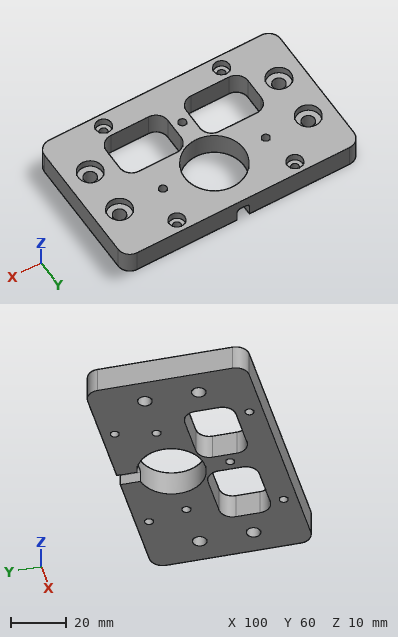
import cadquery as cq

length = 100
width = 60
thickness = 10
corner_radius = 5

bore_diameter = 25
bore_y = 10.3
channel_width = 5.2
channel_depth = 5.8
channel_corner_radius = 1.5

small_hole_diameter = 3.2
bolt_circle_radius = 21.8

window_length = 26
window_width = 19
window_corner_radius = 5
window_x = 17
window_y = -10.5

mount_hole_diameter = 5.2
mount_head_diameter = 10
mount_head_depth = 3.2
mount_spacing_x = 80
mount_spacing_y = 20

edge_head_diameter = 6.4
edge_head_depth = 3.2
edge_spacing_x = 50
edge_spacing_y = 50


def make_plate():
    plate = cq.Workplane("XY").box(length, width, thickness, centered=(True, True, False))
    return plate.edges("|Z").fillet(corner_radius)


def top_plane(body):
    """Work plane on the top face, with its origin on the plate axis."""
    return body.faces(">Z").workplane(origin=(0, 0, thickness))


def cut_bore(body):
    return top_plane(body).center(0, bore_y).hole(bore_diameter)


def cut_channel(body):
    """Run the channel from the bore axis out through the +Y side."""
    channel_length = width / 2 - bore_y
    channel = (
        cq.Workplane("XY")
        .box(channel_width, channel_length, channel_depth, centered=(True, False, False))
        .edges("|Y and >Z")
        .fillet(channel_corner_radius)
        .translate((0, bore_y, 0))
    )
    return body.cut(channel)


def cut_bolt_circle(body):
    points = [
        (-bolt_circle_radius, bore_y),
        (bolt_circle_radius, bore_y),
        (0, bore_y - bolt_circle_radius),
    ]
    return top_plane(body).pushPoints(points).hole(small_hole_diameter)


def cut_windows(body):
    window = (
        cq.Workplane("XY")
        .box(window_length, window_width, thickness, centered=(True, True, False))
        .edges("|Z")
        .fillet(window_corner_radius)
    )
    for side in (-1, 1):
        body = body.cut(window.translate((side * window_x, window_y, 0)))
    return body


def cut_counterbores(body, spacing_x, spacing_y, hole_diameter, head_diameter, head_depth):
    """Cut four counterbored holes at the corners of a centred rectangle."""
    return (
        top_plane(body)
        .rarray(spacing_x, spacing_y, 2, 2)
        .cboreHole(hole_diameter, head_diameter, head_depth)
    )


result = make_plate()
result = cut_bore(result)
result = cut_channel(result)
result = cut_bolt_circle(result)
result = cut_windows(result)
result = cut_counterbores(
    result, mount_spacing_x, mount_spacing_y, mount_hole_diameter, mount_head_diameter, mount_head_depth
)
result = cut_counterbores(
    result, edge_spacing_x, edge_spacing_y, small_hole_diameter, edge_head_diameter, edge_head_depth
)